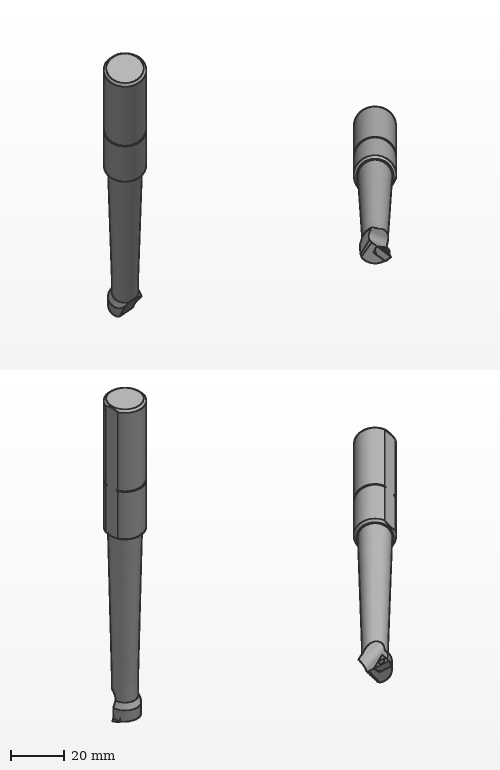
import cadquery as cq
import math

shank_radius = 8.0
flat_distance = 7.4
shank_bottom = 85.0
overall_length = 145.0
shank_chamfer = 1.0
groove_height = 107.8
groove_depth = 0.25

taper_top_radius = 6.5
neck_radius = 5.0
neck_top = 16.4
cone_top = 8.5
cone_bottom = 5.9
head_radius = 6.4
head_bottom = 0.5
bottom_relief_angle = 2.5

rake_angle = 7.0
rake_offset = 0.9
floor_slope = 36.5
floor_height = 7.7
floor_opening = 26.0
pocket_fillet = 3.4
pocket_reach = 20.0

heel_radius = 4.6
heel_start_x = 1.3
heel_start_angle = 14.0
back_top = (4.75, 8.8)
back_bottom = (3.2, 1.3)
back_heel = (2.1, 0.4)
relief_size = 12.0

insert_tip_x = -7.05
insert_side = 6.9
insert_corner_angle = 60.0
insert_thickness = 2.8
insert_lean = 3.0
insert_clearance = 7.0
insert_hole_diameter = 2.5

rake_turn = math.radians(rake_angle)
rake_direction = cq.Vector(math.cos(rake_turn), math.sin(rake_turn), 0)
rake_normal = cq.Vector(-math.sin(rake_turn), math.cos(rake_turn), 0)


def make_bar():
    """Revolved shank, neck and head, with a V-shaped marking groove round the shank."""
    outline = [
        (0, 0),
        (head_radius, 0),
        (head_radius, cone_bottom),
        (neck_radius, cone_top),
        (neck_radius, neck_top),
        (taper_top_radius, shank_bottom),
        (shank_radius - shank_chamfer, shank_bottom),
        (shank_radius, shank_bottom + shank_chamfer),
        (shank_radius, groove_height - groove_depth),
        (shank_radius - groove_depth, groove_height),
        (shank_radius, groove_height + groove_depth),
        (shank_radius, overall_length - shank_chamfer),
        (shank_radius - shank_chamfer, overall_length),
        (0, overall_length),
    ]
    return cq.Workplane("XZ").polyline(outline).close().revolve(360, (0, 0, 0), (0, 1, 0))


def make_shank_flat():
    """Block that cuts the flat along the whole shank."""
    return (
        cq.Workplane("XY", origin=(-flat_distance - shank_radius, 0, shank_bottom))
        .rect(2 * shank_radius, 2 * shank_radius)
        .extrude(overall_length - shank_bottom)
    )


def make_chip_pocket():
    """Prism running down the floor slope, with a rake wall, a fillet and a floor."""
    slope = math.radians(floor_slope)
    downhill = rake_direction * math.cos(slope) - cq.Vector(0, 0, math.sin(slope))
    corner = cq.Vector(0, rake_offset, floor_height)
    start = corner - downhill * pocket_reach
    section = cq.Plane(origin=start.toTuple(), xDir=rake_normal.toTuple(), normal=downhill.toTuple())
    floor_rise = pocket_reach * math.tan(math.radians(floor_opening))
    return (
        cq.Workplane(section)
        .polyline([(0, 0), (pocket_reach, floor_rise), (pocket_reach, -pocket_reach), (0, -pocket_reach)])
        .close()
        .extrude(2 * pocket_reach)
        .edges(cq.selectors.NearestToPointSelector(corner.toTuple()))
        .fillet(pocket_fillet)
    )


def make_heel_relief():
    """Cut that leaves a smaller rounded heel beside the round of the head."""
    start_angle = math.radians(heel_start_angle)
    middle_angle = (start_angle + math.pi / 2) / 2
    start_y = -math.sqrt(head_radius**2 - heel_start_x**2)
    center_x = heel_start_x - heel_radius * math.sin(start_angle)
    center_y = start_y + heel_radius * math.cos(start_angle)
    middle = (
        center_x + heel_radius * math.sin(middle_angle),
        center_y - heel_radius * math.cos(middle_angle),
    )
    side_x = center_x + heel_radius
    return (
        cq.Workplane("XY")
        .moveTo(heel_start_x, start_y)
        .threePointArc(middle, (side_x, center_y))
        .lineTo(side_x, relief_size)
        .lineTo(relief_size, relief_size)
        .lineTo(relief_size, -relief_size)
        .lineTo(heel_start_x, -relief_size)
        .close()
        .extrude(cone_top)
    )


def make_back_relief():
    """Cut that slopes the back of the head inward toward the bottom."""
    heel_x = back_heel[0]
    top_z = back_top[1]
    return (
        cq.Workplane("XZ")
        .polyline([back_top, back_bottom, back_heel, (heel_x, 0), (relief_size, 0), (relief_size, top_z)])
        .close()
        .extrude(relief_size, both=True)
    )


def make_bottom_relief():
    """Cut that raises the bottom of the head toward -Y."""
    rise = relief_size * math.tan(math.radians(bottom_relief_angle))
    return (
        cq.Workplane("YZ")
        .polyline([
            (-relief_size, -relief_size),
            (relief_size, -relief_size),
            (relief_size, head_bottom - rise),
            (-relief_size, head_bottom + rise),
        ])
        .close()
        .extrude(relief_size, both=True)
    )


def make_insert_blank():
    """Triangular insert without its hole, tapering away from the rake face."""
    tip_y = rake_offset + insert_tip_x * math.tan(rake_turn)
    face = cq.Plane(
        origin=(insert_tip_x, tip_y, 0),
        xDir=rake_direction.toTuple(),
        normal=(rake_normal * -1).toTuple(),
    )
    lean = math.radians(insert_lean)
    corner_angle = math.radians(insert_corner_angle)
    return (
        cq.Workplane(face)
        .polyline([
            (0, 0),
            (insert_side * math.cos(lean), insert_side * math.sin(lean)),
            (insert_side * math.cos(lean + corner_angle), insert_side * math.sin(lean + corner_angle)),
        ])
        .close()
        .extrude(insert_thickness, taper=insert_clearance)
    )


def make_holder(insert_blank):
    """Boring bar with a seat that matches the insert."""
    return (
        make_bar()
        .cut(make_shank_flat())
        .cut(make_chip_pocket())
        .cut(make_heel_relief())
        .cut(make_back_relief())
        .cut(make_bottom_relief())
        .cut(insert_blank)
    )


def make_insert(insert_blank):
    """Insert with a plain screw hole through its middle."""
    return (
        insert_blank.faces(cq.selectors.DirectionMinMaxSelector(rake_normal))
        .workplane(centerOption="CenterOfMass")
        .hole(insert_hole_diameter)
    )


blank = make_insert_blank()
holder = make_holder(blank)
insert = make_insert(blank)

result = cq.Compound.makeCompound([holder.solids().val(), insert.solids().val()])